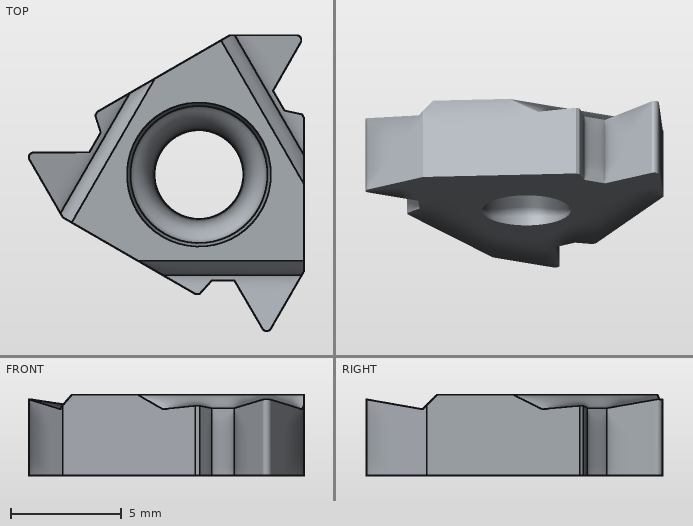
import cadquery as cq
import math

THICKNESS = 3.65
TOOTH_COUNT = 3
TOOTH_PITCH_ANGLE = 360 / TOOTH_COUNT
INSCRIBED_RADIUS = 4.75

FLANK_TILT = math.radians(30)
FLANK_DISTANCE = 6.29
TIP_RADIUS = 0.22
TIP_X = 3.055
NOTCH_Y = -4.79
NOTCH_INNER_X = 1.60
NOTCH_OUTER_X = 0.575
HEEL_X = 0.03
HEEL_Y = -5.39

GROOVE_START = 3.89
GROOVE_DEPTH = 0.65
GROOVE_WIDTH = 0.65
RAKE_ANGLE = math.radians(10)
CUT_REACH = 8.5
CUT_LENGTH = 20.0
CUT_HEADROOM = 1.0

BORE_RADIUS = 2.0
RIM_TOP_RADIUS = 3.25
RIM_BOTTOM_RADIUS = 3.09
RIM_DEPTH = 0.60
SEAT_RADIUS = 2.0


def rotate_about_bore(point, angle):
    x, y = point
    c = math.cos(math.radians(angle))
    s = math.sin(math.radians(angle))
    return (c * x - s * y, s * x + c * y)


def tooth_profile():
    """Points of one third of the outline, clockwise seen from above."""
    cos_t = math.cos(FLANK_TILT)
    sin_t = math.sin(FLANK_TILT)
    tip_y = (TIP_X * cos_t + TIP_RADIUS - FLANK_DISTANCE) / sin_t
    shoulder = (INSCRIBED_RADIUS, (INSCRIBED_RADIUS * cos_t - FLANK_DISTANCE) / sin_t)
    tip_start = (TIP_X + TIP_RADIUS * cos_t, tip_y - TIP_RADIUS * sin_t)
    tip_mid = (TIP_X, tip_y - TIP_RADIUS)
    tip_end = (TIP_X - TIP_RADIUS * cos_t, tip_y - TIP_RADIUS * sin_t)
    heel_end = (-(INSCRIBED_RADIUS + HEEL_Y * cos_t) / sin_t, HEEL_Y)
    notch = [(NOTCH_INNER_X, NOTCH_Y), (NOTCH_OUTER_X, NOTCH_Y), (HEEL_X, HEEL_Y), heel_end]
    return shoulder, tip_start, tip_mid, tip_end, notch


def insert_body():
    shoulder, tip_start, tip_mid, tip_end, notch = tooth_profile()
    outline = cq.Workplane("XY").moveTo(*shoulder)
    for i in range(TOOTH_COUNT):
        angle = -i * TOOTH_PITCH_ANGLE
        if i > 0:
            outline = outline.lineTo(*rotate_about_bore(shoulder, angle))
        outline = outline.lineTo(*rotate_about_bore(tip_start, angle))
        outline = outline.threePointArc(
            rotate_about_bore(tip_mid, angle),
            rotate_about_bore(tip_end, angle),
        )
        for corner in notch:
            outline = outline.lineTo(*rotate_about_bore(corner, angle))
    return outline.close().extrude(THICKNESS)


def chip_breaker_cutter():
    """Prism above the groove wall and the raked land of the tooth toward -Y."""
    root_y = -(GROOVE_START + GROOVE_WIDTH)
    root_z = THICKNESS - GROOVE_DEPTH
    rake_rise = (CUT_REACH + root_y) * math.tan(RAKE_ANGLE)
    section = [
        (-GROOVE_START, THICKNESS),
        (root_y, root_z),
        (-CUT_REACH, root_z + rake_rise),
        (-CUT_REACH, THICKNESS + CUT_HEADROOM),
        (-GROOVE_START, THICKNESS + CUT_HEADROOM),
    ]
    return cq.Workplane("YZ").polyline(section).close().extrude(CUT_LENGTH / 2, both=True)


def bore_cutter():
    """Revolved section of the tapered rim, convex seat and straight bore."""
    seat_centre_r = BORE_RADIUS + SEAT_RADIUS
    seat_angle = math.acos((seat_centre_r - RIM_BOTTOM_RADIUS) / SEAT_RADIUS)
    seat_top_z = THICKNESS - RIM_DEPTH
    seat_bottom_z = seat_top_z - SEAT_RADIUS * math.sin(seat_angle)
    seat_mid = (
        seat_centre_r - SEAT_RADIUS * math.cos(seat_angle / 2),
        seat_bottom_z + SEAT_RADIUS * math.sin(seat_angle / 2),
    )
    section = (
        cq.Workplane("XZ")
        .lineTo(BORE_RADIUS, 0)
        .lineTo(BORE_RADIUS, seat_bottom_z)
        .threePointArc(seat_mid, (RIM_BOTTOM_RADIUS, seat_top_z))
        .lineTo(RIM_TOP_RADIUS, THICKNESS)
        .lineTo(0, THICKNESS)
        .close()
    )
    return section.revolve(360, (0, 0, 0), (0, 1, 0))


result = insert_body().cut(bore_cutter())
for tooth in range(TOOTH_COUNT):
    cutter = chip_breaker_cutter().rotate((0, 0, 0), (0, 0, 1), tooth * TOOTH_PITCH_ANGLE)
    result = result.cut(cutter)